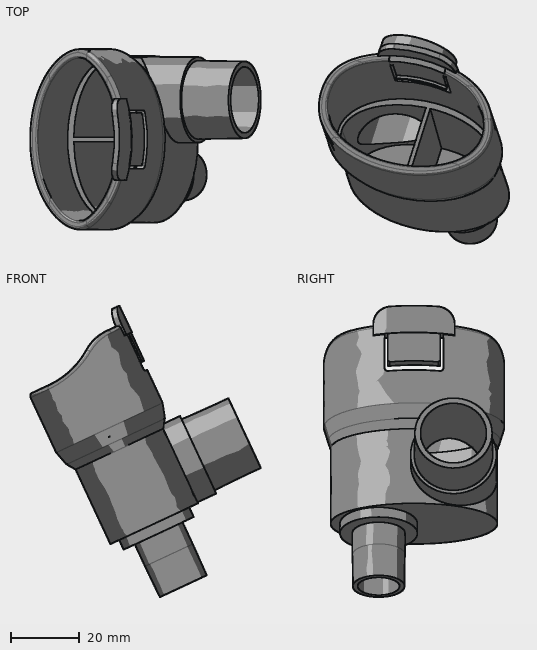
import cadquery as cq
import math

TILT_DEG = -25.0

HEAD_X = 17.15
HEAD_Y = 26.35
HEAD_WALL = 2.6
NECK_INSET = 1.25
BASE_X = 14.1
BASE_Y = 24.3
BASE_WALL = 1.55
COMPARTMENT_DRAFT = 1.0

FLANGE_Z = 17.0
BASE_Z = 20.1
BASE_TOP_Z = 44.1
NECK_Z = 46.65
LEDGE_Z = 48.6
HEAD_Z = 51.05
FLOOR_Z = BASE_Z + BASE_WALL
DIVIDER_T = 1.3

RIM_LOW_Z = 69.7
RIM_HIGH_Z = 76.9
RIM_RISE_X = -10.6
RIM_SLOPE_DEG = 36.4
RIM_LOW_R = 23.6
RIM_OUTER_FILLET = 1.0
RIM_INNER_FILLET = 0.5

SPOUT_Y = -10.3
SPOUT_R = 7.7
SPOUT_TIP_R = 7.55
SPOUT_BORE_R = 6.1
SPOUT_TAPER_Z = 10.1
SPOUT_FLANGE_R = 11.3

OUTLET_Y = 11.5
OUTLET_Z = 32.9
OUTLET_COLLAR_R = 12.5
OUTLET_COLLAR_X = 20.1
OUTLET_ROOT_R = 11.45
OUTLET_TIP_R = 11.25
OUTLET_BORE_R = 9.6
OUTLET_END_X = 35.05

WINDOW_HALF_Y = 8.55
WINDOW_Z = 61.6
WINDOW_CORNER_R = 1.0
TONGUE_HALF_Y = 7.7
TONGUE_Z = 64.3
TONGUE_PROUD = 0.35
TONGUE_T = TONGUE_PROUD + HEAD_WALL
TONGUE_CORNER = 0.6
TONGUE_LEAD_IN = 0.85
LIP_DEPTH = 0.7
LIP_Z = TONGUE_Z + 0.35
LIP_EDGE_H = 0.7
LIP_SLOPE_H = 0.6
TAB_HALF_Y = 11.9
TAB_Z = 73.4
TAB_TOP_Z = 82.0
TAB_PROUD = 0.6
TAB_T = 1.7
TAB_CORNER_R = 5.0

REACH = 100.0


def oval(half_x, half_y, z0, z1):
    """Upright elliptical prism between two heights."""
    return cq.Workplane("XY", origin=(0, 0, z0)).ellipse(half_x, half_y).extrude(z1 - z0)


def oval_taper(bottom, top, z0, z1):
    """Straight-sided transition between two ellipses."""
    lower = cq.Workplane("XY", origin=(0, 0, z0)).ellipse(*bottom)
    return lower.workplane(offset=z1 - z0).ellipse(*top).loft(ruled=True)


def head_offset(distance):
    """Half widths of the head ellipse grown by a distance."""
    return HEAD_X + distance, HEAD_Y + distance


def oval_shell(outer_offset, thickness, z0, z1):
    """Wall that follows the head ellipse."""
    outer = oval(*head_offset(outer_offset), z0, z1)
    return outer.cut(oval(*head_offset(outer_offset - thickness), z0, z1))


def plus_x_block(half_y, z0, z1):
    """Block on the +X side of the axis, used to trim the latch parts."""
    base = cq.Workplane("XY", origin=(0, 0, z0))
    return base.box(REACH, 2 * half_y, z1 - z0, centered=(False, True, False))


def rim_trim():
    """Everything under the wavy rim."""
    slope = math.radians(RIM_SLOPE_DEG)
    bend_x = RIM_RISE_X + RIM_LOW_R * math.sin(slope)
    bend_z = RIM_LOW_Z + RIM_LOW_R * (1 - math.cos(slope))
    high_r = (RIM_HIGH_Z - bend_z) / (1 - math.cos(slope))
    crest_x = bend_x + high_r * math.sin(slope)
    half = slope / 2
    low_mid = (RIM_RISE_X + RIM_LOW_R * math.sin(half), RIM_LOW_Z + RIM_LOW_R * (1 - math.cos(half)))
    high_mid = (crest_x - high_r * math.sin(half), RIM_HIGH_Z - high_r * (1 - math.cos(half)))
    profile = (
        cq.Workplane("XZ")
        .moveTo(-REACH, 0)
        .lineTo(-REACH, RIM_LOW_Z)
        .lineTo(RIM_RISE_X, RIM_LOW_Z)
        .threePointArc(low_mid, (bend_x, bend_z))
        .threePointArc(high_mid, (crest_x, RIM_HIGH_Z))
        .lineTo(REACH, RIM_HIGH_Z)
        .lineTo(REACH, 0)
        .close()
    )
    return profile.extrude(REACH / 2, both=True)


def make_base():
    """Lower body with its taper up to the head, still solid."""
    base = oval(BASE_X, BASE_Y, BASE_Z, BASE_TOP_Z)
    neck_size = head_offset(-NECK_INSET)
    shoulder = oval_taper((BASE_X, BASE_Y), neck_size, BASE_TOP_Z, NECK_Z)
    neck = oval_taper(neck_size, head_offset(0), NECK_Z, HEAD_Z)
    return base.union(shoulder).union(neck)


def make_head():
    """Solid head above the taper, trimmed to the wavy rim."""
    return oval(*head_offset(0), HEAD_Z, RIM_HIGH_Z).intersect(rim_trim())


def make_cavity():
    """Interior: two drafted compartments beside a divider, and the wider cup above the ledge."""
    top = (BASE_X - BASE_WALL, BASE_Y - BASE_WALL)
    floor = (top[0] - COMPARTMENT_DRAFT, top[1] - COMPARTMENT_DRAFT)
    compartments = oval_taper(floor, top, FLOOR_Z, LEDGE_Z)
    divider = cq.Workplane("XY").box(REACH, DIVIDER_T, REACH)
    cup = oval(*head_offset(-HEAD_WALL), LEDGE_Z, TAB_TOP_Z)
    return compartments.cut(divider).union(cup)


def round_rim(body):
    """Round the inner and outer edges of the wavy rim."""
    wall_mid_x, wall_mid_y = head_offset(-HEAD_WALL / 2)
    zone_z = RIM_LOW_Z - HEAD_WALL
    rim_zone = cq.selectors.BoxSelector((-REACH, -REACH, zone_z), (REACH, REACH, REACH), boundingbox=True)
    within_wall = cq.selectors.BoxSelector(
        (-wall_mid_x, -wall_mid_y, zone_z),
        (wall_mid_x, wall_mid_y, REACH),
        boundingbox=True,
    )
    curved = cq.selectors.StringSyntaxSelector("not %LINE")
    inner_edges = within_wall & curved
    outer_edges = (rim_zone - within_wall) & curved
    return body.edges(inner_edges).fillet(RIM_INNER_FILLET).edges(outer_edges).fillet(RIM_OUTER_FILLET)


def make_spout():
    """Flange and slightly tapered tube below the base."""
    outline = (
        cq.Workplane("XZ", origin=(0, SPOUT_Y, 0))
        .polyline([
            (0, 0),
            (SPOUT_TIP_R, 0),
            (SPOUT_R, SPOUT_TAPER_Z),
            (SPOUT_R, FLANGE_Z),
            (SPOUT_FLANGE_R, FLANGE_Z),
            (SPOUT_FLANGE_R, BASE_Z),
            (0, BASE_Z),
        ])
        .close()
    )
    return outline.revolve(360, (0, 0), (0, 1))


def make_outlet():
    """Collar and slightly tapered tube along +X."""
    outline = (
        cq.Workplane("XY", origin=(0, OUTLET_Y, OUTLET_Z))
        .polyline([
            (0, 0),
            (0, OUTLET_COLLAR_R),
            (OUTLET_COLLAR_X, OUTLET_COLLAR_R),
            (OUTLET_COLLAR_X, OUTLET_ROOT_R),
            (OUTLET_END_X, OUTLET_TIP_R),
            (OUTLET_END_X, 0),
        ])
        .close()
    )
    return outline.revolve(360, (0, 0), (1, 0))


def spout_bore():
    """Through bore of the spout, up into the -Y compartment."""
    return cq.Workplane("XY", origin=(0, SPOUT_Y, 0)).circle(SPOUT_BORE_R).extrude(FLOOR_Z)


def outlet_bore():
    """Bore of the outlet, from the +Y compartment to its open end."""
    return cq.Workplane("YZ").center(OUTLET_Y, OUTLET_Z).circle(OUTLET_BORE_R).extrude(OUTLET_END_X)


def latch_window():
    """Opening in the +X wall, open through the rim."""
    opening = plus_x_block(WINDOW_HALF_Y, WINDOW_Z, REACH)
    return opening.edges("|X and <Z").fillet(WINDOW_CORNER_R)


def make_tab():
    """Curved thumb tab with rounded upper corners."""
    outline = plus_x_block(TAB_HALF_Y, TAB_Z, TAB_TOP_Z).edges("|X and >Z").fillet(TAB_CORNER_R)
    return oval_shell(TAB_PROUD, TAB_T, TAB_Z, TAB_TOP_Z).intersect(outline)


def make_tongue():
    """Flexible tongue hanging from the tab, with an inward catch lip at its lower end."""
    inner_offset = TONGUE_PROUD - TONGUE_T
    shell = oval_shell(TONGUE_PROUD, TONGUE_T, TONGUE_Z, RIM_HIGH_Z)
    lip_offset = inner_offset - LIP_DEPTH
    lip_edge_z = LIP_Z + LIP_EDGE_H
    lip_top_z = lip_edge_z + LIP_SLOPE_H
    lip = oval_shell(0, -lip_offset, LIP_Z, lip_top_z)
    lip = lip.cut(oval_taper(head_offset(lip_offset), head_offset(inner_offset), lip_edge_z, lip_top_z))
    lead_in = oval_taper(
        head_offset(inner_offset),
        head_offset(TAB_PROUD - TAB_T),
        RIM_HIGH_Z - TONGUE_LEAD_IN,
        RIM_HIGH_Z,
    )
    hanging = plus_x_block(TONGUE_HALF_Y, TONGUE_Z, TAB_Z).edges("|X and <Z").chamfer(TONGUE_CORNER)
    bridge = plus_x_block(WINDOW_HALF_Y, TAB_Z, RIM_HIGH_Z)
    return shell.union(lip).cut(lead_in).intersect(hanging.union(bridge))


def make_part():
    """Join all features upright, then tilt the part."""
    body = make_base().union(make_head()).union(make_spout()).union(make_outlet())
    body = body.cut(make_cavity())
    body = round_rim(body)
    body = body.cut(spout_bore()).cut(outlet_bore()).cut(latch_window())
    body = body.union(make_tab()).union(make_tongue())
    return body.rotate((0, 0, 0), (0, 1, 0), TILT_DEG)


result = make_part()